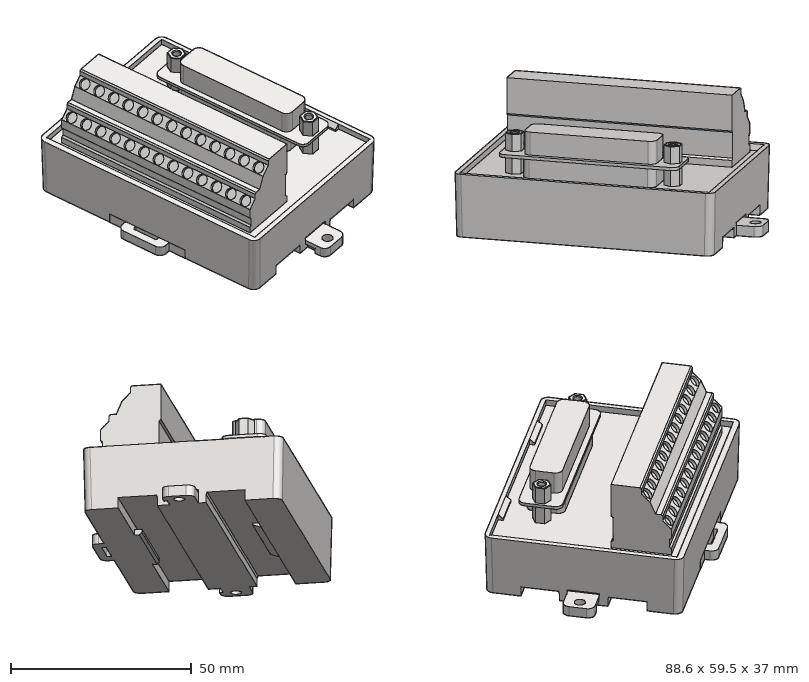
import cadquery as cq
import math

OVERALL_LENGTH = 88.6
OVERALL_WIDTH = 59.5

HOUSING_LENGTH = 75.0
HOUSING_WIDTH = 56.3
HOUSING_HEIGHT = 18.1
HOUSING_CORNER_RADIUS = 2.2
WALL_DRAFT = 1.2

TRAY_DEPTH = 1.8
TRAY_HALF_LENGTH = 36.0
TRAY_BACK = 26.8
TRAY_FRONT_TOP = -26.3
TRAY_FRONT_BOTTOM = -25.8
FLOOR_Z = HOUSING_HEIGHT - TRAY_DEPTH

CATCH_LENGTH = 10.0
CATCH_OFFSET = 20.1
CATCH_REACH = 1.4
CATCH_LIP = 0.5

CHANNEL_HEIGHT = 3.0
CHANNEL_BACK = 17.6
POST_BACK = 6.7
POST_FRONT = -7.0
CHANNEL_FRONT = -18.1
POST_CHAMFER_WIDTH = 0.3
POST_CHAMFER_HEIGHT = 0.7

CLIP_PLATE_LENGTH = 26.05
CLIP_PLATE_FRONT = -27.8
CLIP_PLATE_DEPTH = 0.9
REAR_HOOK_REACH = 2.5
REAR_HOOK_TOP = 1.4
REAR_HOOK_NOSE = 0.5
FRONT_HOOK_REACH = 2.0
FRONT_HOOK_TOP = 1.6
FRONT_HOOK_NOSE = 0.9
FRONT_HOOK_BEVEL = 0.7
CLIP_LENGTH = 15.1
CLIP_TIP = HOUSING_WIDTH / 2 - OVERALL_WIDTH
CLIP_CORNER_RADIUS = 2.0
CLIP_SLOT_LENGTH = 8.0
CLIP_SLOT_FRONT = -29.1
CLIP_SLOT_RADIUS = 0.4

EAR_WIDTH = 9.0
EAR_HEIGHT = 3.0
EAR_CORNER_RADIUS = 2.0
EAR_HOLE_DIAMETER = 3.0
EAR_HOLE_X = 41.4
EAR_NOTCH_X = 40.4
EAR_NOTCH_HEIGHT = 1.7
EAR_NOTCH_DEPTH = 1.0
EAR_RELIEF = 0.9

SCREW_ROWS = 2
POLES = 13
BLOCK_LENGTH = 65.0
POLE_PITCH = BLOCK_LENGTH / POLES
BLOCK_HEIGHT = 36.95
BLOCK_BACK = -6.9
BLOCK_BACK_STEP_Z = 26.7
BLOCK_STEP = 0.5
UPPER_FACE_Y = -15.5
UPPER_SLOPE_TOP = 35.0
SLOPE_SIZE = 2.4
EDGE_CHAMFER = 0.4
ROW_STEP_Y = 6.0
ROW_STEP_Z = 8.0
LEDGE_BACK = -19.5
FRONT_STEP_Z = 21.6
FOOT_Z = 18.8
SCREW_HOLE_DIAMETER = 3.3
SCREW_HOLE_DEPTH = 1.0

CONNECTOR_X = 0.8
CONNECTOR_Y = 15.1
BASE_LENGTH = 38.3
BASE_WIDTH = 10.8
BASE_RADIUS = 2.0
FLANGE_LENGTH = 51.8
FLANGE_WIDTH = 12.4
FLANGE_BOTTOM = 21.9
FLANGE_TOP = 22.8
FLANGE_RADIUS = 2.0
SHELL_LENGTH = 38.1
SHELL_WIDTH = 9.2
SHELL_TOP = 29.3
SHELL_RADIUS = 2.0
STANDOFF_SPACING = 45.7
STANDOFF_ACROSS_FLATS = 4.5
STANDOFF_TOP = 27.8
HEXAGON_TURN = 30
STANDOFF_HOLE_DIAMETER = 2.1
STANDOFF_HOLE_CHAMFER = 0.3
STANDOFF_RIM_CHAMFER = 0.2
COUNTERSINK_ANGLE = 90
STANDOFF_HOLE_DEPTH = 4.4


def block_between(x0, x1, y0, y1, z0, z1):
    """Box given by its limits along each axis."""
    return cq.Workplane("XY").box(x1 - x0, y1 - y0, z1 - z0, centered=False).translate((x0, y0, z0))


def bar_along_x(profile, length, center_x=0.0):
    """Straight bar of the given (y, z) profile, centred on center_x."""
    start = center_x - length / 2
    return cq.Workplane("YZ", origin=(start, 0, 0)).polyline(profile).close().extrude(length)


def rounded_plate(length, width, radius, bottom, top):
    """Upright plate with rounded corners, centred on the Z axis."""
    plate = cq.Workplane("XY", origin=(0, 0, bottom)).rect(length, width).extrude(top - bottom)
    return plate.edges("|Z").fillet(radius)


def housing_shell():
    shell = (
        cq.Workplane("XY", origin=(0, 0, HOUSING_HEIGHT))
        .rect(HOUSING_LENGTH, HOUSING_WIDTH)
        .extrude(-HOUSING_HEIGHT, taper=WALL_DRAFT)
    )
    shell = shell.edges("not #Z").fillet(HOUSING_CORNER_RADIUS)
    tray = bar_along_x(
        [
            (TRAY_BACK, HOUSING_HEIGHT),
            (TRAY_BACK, FLOOR_Z),
            (TRAY_FRONT_BOTTOM, FLOOR_Z),
            (TRAY_FRONT_TOP, HOUSING_HEIGHT),
        ],
        2 * TRAY_HALF_LENGTH,
    )
    return shell.cut(tray)


def catch(center_x):
    """Wedge on the rear tray wall, sloping down into the tray."""
    front = TRAY_BACK - CATCH_REACH
    return bar_along_x(
        [
            (TRAY_BACK, FLOOR_Z),
            (TRAY_BACK, HOUSING_HEIGHT),
            (front, FLOOR_Z + CATCH_LIP),
            (front, FLOOR_Z),
        ],
        CATCH_LENGTH,
        center_x,
    )


def rail_channel(wall_y, post_y):
    """Channel between an outer foot and the centre post, which widens at its root."""
    toward_wall = math.copysign(1, wall_y - post_y)
    return bar_along_x(
        [
            (wall_y, 0),
            (wall_y, CHANNEL_HEIGHT),
            (post_y + toward_wall * POST_CHAMFER_WIDTH, CHANNEL_HEIGHT),
            (post_y, CHANNEL_HEIGHT - POST_CHAMFER_HEIGHT),
            (post_y, 0),
        ],
        OVERALL_LENGTH,
    )


def rear_hook():
    nose = CHANNEL_BACK - REAR_HOOK_REACH
    return bar_along_x(
        [
            (CHANNEL_BACK, 0),
            (CHANNEL_BACK, REAR_HOOK_TOP),
            (nose, REAR_HOOK_TOP),
            (nose, REAR_HOOK_TOP - REAR_HOOK_NOSE),
        ],
        CLIP_PLATE_LENGTH,
    )


def front_hook():
    nose = CHANNEL_FRONT + FRONT_HOOK_REACH
    return bar_along_x(
        [
            (CHANNEL_FRONT, 0),
            (CHANNEL_FRONT, FRONT_HOOK_TOP),
            (nose, FRONT_HOOK_TOP),
            (nose, FRONT_HOOK_TOP - FRONT_HOOK_NOSE),
            (nose - FRONT_HOOK_BEVEL, 0),
        ],
        CLIP_PLATE_LENGTH,
    )


def release_clip():
    """Flat plate in the front wall with a slotted pull tab."""
    plate_back = CLIP_PLATE_FRONT + CLIP_PLATE_DEPTH
    half_plate = CLIP_PLATE_LENGTH / 2
    half_tab = CLIP_LENGTH / 2
    half_slot = CLIP_SLOT_LENGTH / 2
    plate = block_between(-half_plate, half_plate, CLIP_PLATE_FRONT, plate_back, 0, CHANNEL_HEIGHT)
    tab = block_between(-half_tab, half_tab, CLIP_TIP, plate_back, 0, CHANNEL_HEIGHT)
    tab = tab.edges("|Z and <Y").fillet(CLIP_CORNER_RADIUS)
    slot = block_between(-half_slot, half_slot, CLIP_SLOT_FRONT, CLIP_PLATE_FRONT, 0, CHANNEL_HEIGHT)
    slot = slot.edges("|Z and <Y").fillet(CLIP_SLOT_RADIUS)
    return plate.union(tab).cut(slot)


def ear_relief():
    """45 degree relief cut into both end walls just above the ears."""
    wall_x = HOUSING_LENGTH / 2
    draft_at_relief = (HOUSING_HEIGHT - EAR_HEIGHT - EAR_RELIEF) * math.tan(math.radians(WALL_DRAFT))
    inner_x = wall_x - draft_at_relief - EAR_RELIEF
    wedge = (
        cq.Workplane("XZ", origin=(0, EAR_WIDTH / 2, 0))
        .polyline(
            [
                (wall_x, EAR_HEIGHT),
                (inner_x, EAR_HEIGHT),
                (inner_x + EAR_RELIEF, EAR_HEIGHT + EAR_RELIEF),
                (wall_x, EAR_HEIGHT + EAR_RELIEF),
            ]
        )
        .close()
        .extrude(EAR_WIDTH)
    )
    return wedge.union(wedge.mirror("YZ"))


def ears():
    """Both mounting ears, as one strip that passes through the base of the housing."""
    strip = rounded_plate(OVERALL_LENGTH, EAR_WIDTH, EAR_CORNER_RADIUS, 0, EAR_HEIGHT)
    holes = (
        cq.Workplane("XY")
        .pushPoints([(-EAR_HOLE_X, 0), (EAR_HOLE_X, 0)])
        .circle(EAR_HOLE_DIAMETER / 2)
        .extrude(EAR_HEIGHT)
    )
    front = -EAR_WIDTH / 2
    notch = block_between(-EAR_NOTCH_X, EAR_NOTCH_X, front, front + EAR_NOTCH_DEPTH, 0, EAR_NOTCH_HEIGHT)
    return strip.cut(holes).cut(notch)


def make_housing():
    body = housing_shell()
    for side in (-1, 1):
        body = body.union(catch(side * CATCH_OFFSET))
    body = body.cut(rail_channel(CHANNEL_BACK, POST_BACK))
    body = body.cut(rail_channel(CHANNEL_FRONT, POST_FRONT))
    body = body.union(rear_hook()).union(front_hook())
    body = body.union(release_clip())
    body = body.cut(ear_relief())
    return body.union(ears())


def make_terminal_block():
    lower_face_y = UPPER_FACE_Y - ROW_STEP_Y
    lower_slope_top = UPPER_SLOPE_TOP - ROW_STEP_Z
    ledge_z = BLOCK_HEIGHT - ROW_STEP_Z
    front = lower_face_y - SLOPE_SIZE
    profile = [
        (BLOCK_BACK, FLOOR_Z),
        (BLOCK_BACK, FOOT_Z - BLOCK_STEP),
        (BLOCK_BACK - BLOCK_STEP, FOOT_Z),
        (BLOCK_BACK - BLOCK_STEP, BLOCK_BACK_STEP_Z - BLOCK_STEP),
        (BLOCK_BACK, BLOCK_BACK_STEP_Z),
        (BLOCK_BACK, BLOCK_HEIGHT),
        (UPPER_FACE_Y + EDGE_CHAMFER, BLOCK_HEIGHT),
        (UPPER_FACE_Y, BLOCK_HEIGHT - EDGE_CHAMFER),
        (UPPER_FACE_Y, UPPER_SLOPE_TOP),
        (UPPER_FACE_Y - SLOPE_SIZE, UPPER_SLOPE_TOP - SLOPE_SIZE),
        (LEDGE_BACK, ledge_z),
        (lower_face_y + EDGE_CHAMFER, ledge_z),
        (lower_face_y, ledge_z - EDGE_CHAMFER),
        (lower_face_y, lower_slope_top),
        (front, lower_slope_top - SLOPE_SIZE),
        (front, FRONT_STEP_Z),
        (front + BLOCK_STEP, FRONT_STEP_Z - BLOCK_STEP),
        (front + BLOCK_STEP, FOOT_Z),
        (front, FOOT_Z - BLOCK_STEP),
        (front, FLOOR_Z),
    ]
    body = bar_along_x(profile, BLOCK_LENGTH)
    for row in range(SCREW_ROWS):
        slope_y = UPPER_FACE_Y - SLOPE_SIZE / 2 - row * ROW_STEP_Y
        slope_z = UPPER_SLOPE_TOP - SLOPE_SIZE / 2 - row * ROW_STEP_Z
        slope_plane = cq.Plane(origin=(0, slope_y, slope_z), xDir=(1, 0, 0), normal=(0, -1, 1))
        screws = (
            cq.Workplane(slope_plane)
            .rarray(POLE_PITCH, 0.9, POLES, 1)
            .circle(SCREW_HOLE_DIAMETER / 2)
            .extrude(-SCREW_HOLE_DEPTH)
        )
        body = body.cut(screws)
    return body


def standoff(center_x):
    """Hexagonal standoff with a chamfered hole, points toward +Y and -Y."""
    across_corners = STANDOFF_ACROSS_FLATS / math.cos(math.pi / 6)
    post = (
        cq.Workplane("XY", origin=(0, 0, FLOOR_Z))
        .polygon(6, across_corners)
        .extrude(STANDOFF_TOP - FLOOR_Z)
        .rotate((0, 0, 0), (0, 0, 1), HEXAGON_TURN)
        .faces(">Z")
        .chamfer(STANDOFF_RIM_CHAMFER)
    )
    mouth = STANDOFF_HOLE_DIAMETER + 2 * STANDOFF_HOLE_CHAMFER
    post = post.faces(">Z").workplane(origin=(0, 0, STANDOFF_TOP)).cskHole(
        STANDOFF_HOLE_DIAMETER, mouth, COUNTERSINK_ANGLE, depth=STANDOFF_HOLE_DEPTH
    )
    return post.translate((center_x, 0, 0))


def make_connector():
    body = rounded_plate(BASE_LENGTH, BASE_WIDTH, BASE_RADIUS, FLOOR_Z, FLANGE_BOTTOM)
    flange = rounded_plate(FLANGE_LENGTH, FLANGE_WIDTH, FLANGE_RADIUS, FLANGE_BOTTOM, FLANGE_TOP)
    shell = rounded_plate(SHELL_LENGTH, SHELL_WIDTH, SHELL_RADIUS, FLANGE_TOP, SHELL_TOP)
    body = body.union(flange).union(shell)
    for side in (-1, 1):
        body = body.union(standoff(side * STANDOFF_SPACING / 2))
    return body.translate((CONNECTOR_X, CONNECTOR_Y, 0))


housing = make_housing()
terminal_block = make_terminal_block()
connector = make_connector()

result = cq.Compound.makeCompound([housing.val(), terminal_block.val(), connector.val()])